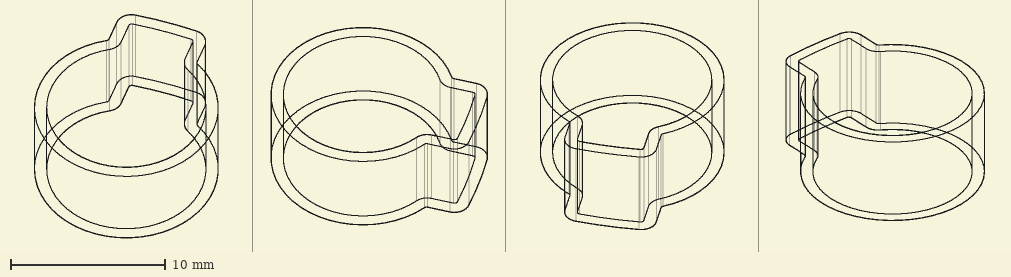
import cadquery as cq
import math

ring_diameter = 11.9
wall = 0.8
band_height = 6.0
overall_length = 13.79

ear_width = 6.04
ear_side_wall = 0.83
ear_crown_radius = 27.58

bend_inner_radius = 0.2
bend_outer_radius = bend_inner_radius + wall

ring_radius = ring_diameter / 2
ear_top = overall_length - ring_radius


def prism(sketch):
    """Extrude a closed outline over the band height, centred on Z = 0."""
    return sketch.extrude(band_height / 2, both=True)


def ear_block(half_width, crown_y, crown_radius, corner_radius):
    """Block from the ring centre to a slightly crowned top with rounded corners."""
    crown_drop = crown_radius - math.sqrt(crown_radius**2 - half_width**2)
    shoulder_y = crown_y - crown_drop
    outline = (
        cq.Workplane("XY")
        .moveTo(-half_width, 0)
        .lineTo(-half_width, shoulder_y)
        .threePointArc((0, crown_y), (half_width, shoulder_y))
        .lineTo(half_width, 0)
        .close()
    )
    return prism(outline).edges("|Z").edges(">Y").fillet(corner_radius)


def keyhole(radius, ear, ear_half_width, neck_radius):
    """Cylinder joined with an ear block, rounded along the two neck edges between them."""
    solid = prism(cq.Workplane("XY").circle(radius)).union(ear)
    neck_y = math.sqrt(radius**2 - ear_half_width**2)
    for neck_x in (-ear_half_width, ear_half_width):
        neck_edge = cq.selectors.NearestToPointSelector((neck_x, neck_y, 0))
        solid = solid.edges("|Z").edges(neck_edge).fillet(neck_radius)
    return solid


outer_half_width = ear_width / 2
outer_ear = ear_block(outer_half_width, ear_top, ear_crown_radius, bend_outer_radius)
outer = keyhole(ring_radius, outer_ear, outer_half_width, bend_inner_radius)

inner_half_width = outer_half_width - ear_side_wall
inner_ear = ear_block(inner_half_width, ear_top - wall, ear_crown_radius - wall, bend_inner_radius)
opening = keyhole(ring_radius - wall, inner_ear, inner_half_width, bend_outer_radius)

result = outer.cut(opening)